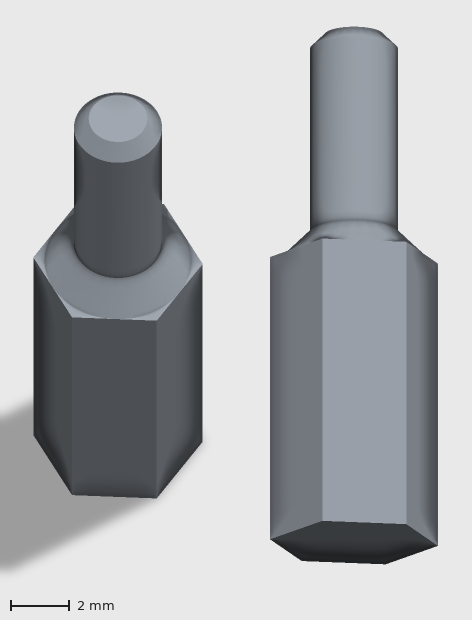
import cadquery as cq
import math

total_height = 18.0
across_flats = 5.0
hex_height = 10.0
stud_diameter = 3.0
tip_chamfer = 0.5

across_corners = across_flats / math.cos(math.radians(30))
flat_radius = across_flats / 2
stud_radius = stud_diameter / 2
shoulder_height = flat_radius - stud_radius
shoulder_top = hex_height + shoulder_height


def hex_body():
    """Hexagonal prism with corners on the Y axis and flats facing X."""
    prism = cq.Workplane("XY").polygon(6, across_corners).extrude(hex_height)
    return prism.rotate((0, 0, 0), (0, 0, 1), 90)


def shouldered_stud():
    """Conical shoulder, cylindrical stud and chamfered tip, revolved about Z."""
    half_profile = [
        (0, hex_height),
        (flat_radius, hex_height),
        (stud_radius, shoulder_top),
        (stud_radius, total_height - tip_chamfer),
        (stud_radius - tip_chamfer, total_height),
        (0, total_height),
    ]
    return cq.Workplane("XZ").polyline(half_profile).close().revolve(360, (0, 0, 0), (0, 1, 0))


result = hex_body().union(shouldered_stud())